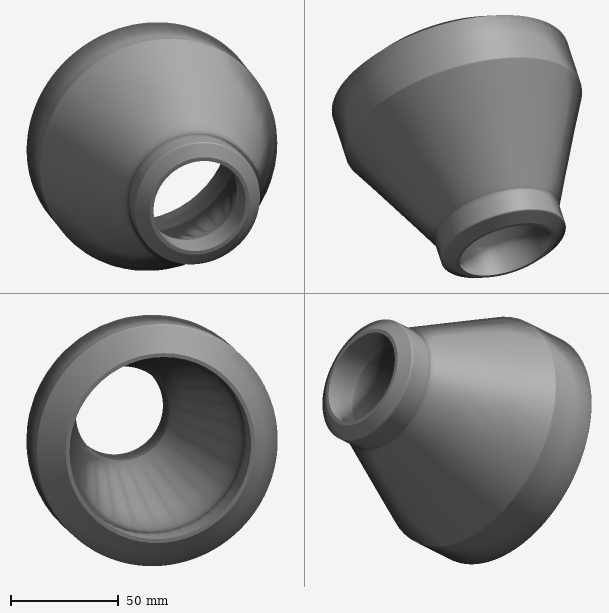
import cadquery as cq
import math

length = 100.0
large_radius = 114.3 / 2
large_bore_radius = 86.0 / 2
small_radius = 60.4 / 2
small_bore_radius = 44.3 / 2

large_end_length = 30.2
small_end_length = 15.1
large_bore_depth = 17.1
land = 1.8
edge_radius = 1.0
bevel_angle = math.radians(30)

cone_start = large_end_length
cone_end = length - small_end_length


def bevel_length(outer_radius, bore_radius):
    """Axial length of the weld bevel on one end."""
    return (outer_radius - bore_radius - land) * math.tan(bevel_angle)


large_bevel = bevel_length(large_radius, large_bore_radius)
small_bevel = bevel_length(small_radius, small_bore_radius)

outer_corners = [
    (large_bevel, large_radius),
    (cone_start, large_radius),
    (cone_end, small_radius),
    (length - small_bevel, small_radius),
]
ends_and_bore = [
    (length, small_bore_radius + land),
    (length, small_bore_radius),
    (cone_end, small_bore_radius),
    (large_bore_depth, large_bore_radius),
    (0, large_bore_radius),
    (0, large_bore_radius + land),
]

body = (
    cq.Workplane("XY")
    .polyline(outer_corners + ends_and_bore)
    .close()
    .revolve(360, (0, 0, 0), (1, 0, 0))
)


def is_outer_corner(edge):
    """True for a circle swept by one of the outer corners."""
    if edge.geomType() != "CIRCLE":
        return False
    position = edge.arcCenter().x
    radius = edge.radius()
    return any(math.dist((position, radius), corner) < match_tolerance for corner in outer_corners)


match_tolerance = 0.0001
rounded_edges = [edge for edge in body.edges().vals() if is_outer_corner(edge)]
result = body.newObject(rounded_edges).fillet(edge_radius)